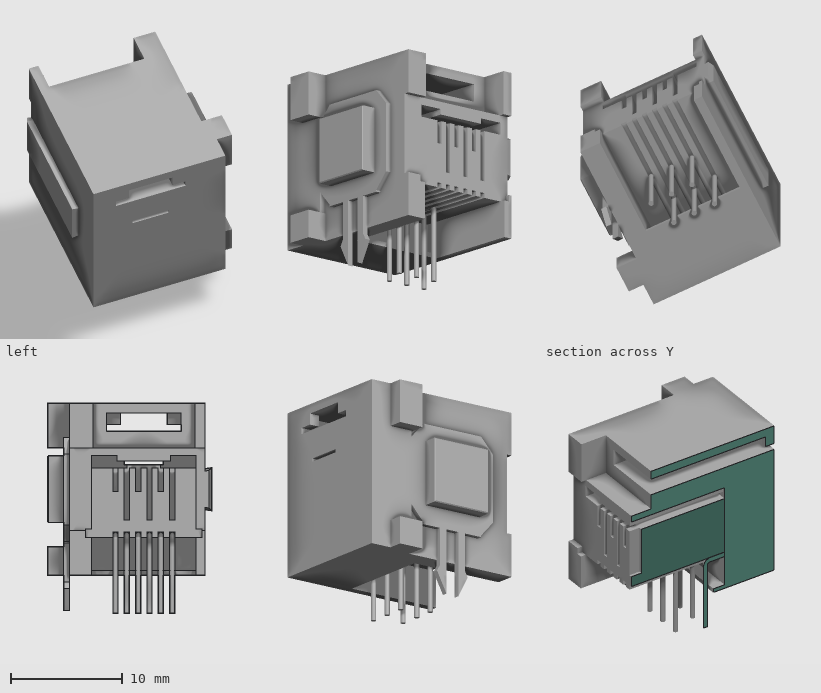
import cadquery as cq


OVERALL_HEIGHT = 18.8
HOUSING_LENGTH = 16.0
HOUSING_HEIGHT = 15.4
HOUSING_WIDTH = 12.13
MID_Y = 5.49
MID_Z = HOUSING_HEIGHT / 2

FACE_RECESS = 0.53
BAND_HEIGHT = 4.0
TOP_RECESS_DEPTH = 2.65
TOP_RECESS_WIDTH = 9.14

WINDOW_WIDTH = 6.67
WINDOW_BOTTOM = 12.9
WINDOW_TOP = 14.51
CORNER_WIDTH = 1.26
CORNER_HEIGHT = 1.03
CORNER_LENGTH = 1.0

POCKET_END = 10.6
POCKET_WIDTH = 9.35
POCKET_TOP = 10.72
LUG_WIDTH = 4.75
LUG_DROP = 0.5
FLOOR_LIP_START = 9.4
FLOOR_LIP_HEIGHT = 0.43
THROUGH_SLOT_WIDTH = 3.45

CARRIER_BOTTOM = 3.4
CARRIER_TOP = 9.6
WING_WIDTH = 10.4
WING_TOP = 4.14
RIDGE_WIDTH = 2.99
RIDGE_HEIGHT = 0.3
SLOT_DEPTH = 1.07
SHORT_SLOT_BOTTOM = 7.5
LONG_SLOT_BOTTOM = 4.95

PIN_COUNT = 6
PIN_PITCH = 1.02
PIN_DIAMETER = 0.47
PIN_TOP = 3.85
PIN_TIP = HOUSING_HEIGHT - OVERALL_HEIGHT
NEAR_ROW_X = 6.03
ROW_SPACING = 2.54
PIN_BEND_RADIUS = 0.41

PLATE_X = 7.01
PLATE_THICKNESS = 0.53
PLATE_WIDTH = 9.08
PLATE_TOP = 12.31
PLATE_CORNER_BOTTOM = 3.03
PLATE_BOTTOM = 2.88
PLATE_BEVEL_X = 1.33
PLATE_BEVEL_Z = 1.47
LEG_INNER = 0.65
LEG_OUTER = 1.4
BARB_OUTER = 1.71
BARB_START = -0.62
BARB_TIP = -1.18
LEG_TIP = -3.15

BOSS_REACH = 14.1
BOSS_SIZE = 6.0
BOSS_CHAMFER = 0.1
POST_START = 11.41
POST_LENGTH = 2.5
LOWER_POST_HEIGHT = 2.55

RAIL_TAPER_END = 1.1
RAIL_END = 12.3
RAIL_HEIGHT = 0.6
RAIL_BASE_WIDTH = 3.68
RAIL_OUTER_WIDTH = 3.87
RAIL_TIP_HEIGHT = 0.35
RAIL_TIP_BASE_WIDTH = 3.23
RAIL_TIP_OUTER_WIDTH = 3.42

PLATE_OUTER_Y = HOUSING_WIDTH + PLATE_THICKNESS
PLATE_END = PLATE_X + PLATE_WIDTH / 2
RIDGE_TOP = CARRIER_TOP + RIDGE_HEIGHT
LUG_BOTTOM = POCKET_TOP - LUG_DROP
UPPER_BAND_BOTTOM = HOUSING_HEIGHT - BAND_HEIGHT


def block(x_range, y_range, z_range):
    """Box between two limits on each axis."""
    sizes = [high - low for low, high in (x_range, y_range, z_range)]
    corner = (x_range[0], y_range[0], z_range[0])
    return cq.Workplane("XY").box(*sizes, centered=False).translate(corner)


def centred_block(x_range, width, z_range):
    """Box centred on the common middle of the pocket and pins."""
    return block(x_range, (MID_Y - width / 2, MID_Y + width / 2), z_range)


def pin_y(index):
    """Y of a pin, counted from the plain side wall."""
    return MID_Y + (index - (PIN_COUNT - 1) / 2) * PIN_PITCH


def in_far_row(index):
    """Even-numbered pins stand in the row farther from the entry face."""
    return index % 2 == 0


def boss_block():
    """Square boss that carries the plate, running inward to the plate seat."""
    half = BOSS_SIZE / 2
    boss = block(
        (PLATE_X - half, PLATE_X + half),
        (HOUSING_WIDTH, BOSS_REACH),
        (MID_Z - half, MID_Z + half),
    )
    return boss.faces(">Y").chamfer(BOSS_CHAMFER)


def rail_section(x, base_width, outer_width, height):
    """Dovetail cross-section of the rail at a given X."""
    points = [
        (x, 0, MID_Z - base_width / 2),
        (x, -height, MID_Z - outer_width / 2),
        (x, -height, MID_Z + outer_width / 2),
        (x, 0, MID_Z + base_width / 2),
    ]
    return cq.Wire.makePolygon([cq.Vector(*point) for point in points], close=True)


def dovetail_rail():
    """Rail that flares outward and tapers down at the entry end."""
    tip = rail_section(FACE_RECESS, RAIL_TIP_BASE_WIDTH, RAIL_TIP_OUTER_WIDTH, RAIL_TIP_HEIGHT)
    full = rail_section(RAIL_TAPER_END, RAIL_BASE_WIDTH, RAIL_OUTER_WIDTH, RAIL_HEIGHT)
    end = rail_section(RAIL_END, RAIL_BASE_WIDTH, RAIL_OUTER_WIDTH, RAIL_HEIGHT)
    taper = cq.Solid.makeLoft([tip, full], True)
    straight = cq.Solid.makeLoft([full, end], True)
    return cq.Workplane(taper).union(cq.Workplane(straight))


def window_opening():
    """Window through the full length, with its upper corners filled at the far end."""
    opening = centred_block((0, HOUSING_LENGTH), WINDOW_WIDTH, (WINDOW_BOTTOM, WINDOW_TOP))
    block_start = HOUSING_LENGTH - CORNER_LENGTH
    corners = centred_block(
        (block_start, HOUSING_LENGTH), WINDOW_WIDTH, (WINDOW_TOP - CORNER_HEIGHT, WINDOW_TOP)
    )
    gap = centred_block(
        (block_start, HOUSING_LENGTH),
        WINDOW_WIDTH - 2 * CORNER_WIDTH,
        (WINDOW_TOP - CORNER_HEIGHT, WINDOW_TOP),
    )
    return opening.cut(corners.cut(gap))


def carrier_pocket():
    """Pocket for the carrier, open to the entry face and to the underside."""
    pocket = centred_block((0, POCKET_END), POCKET_WIDTH, (0, POCKET_TOP))
    lug = centred_block((0, POCKET_END), LUG_WIDTH, (LUG_BOTTOM, POCKET_TOP))
    lip = centred_block((FLOOR_LIP_START, POCKET_END), POCKET_WIDTH, (0, FLOOR_LIP_HEIGHT))
    wings = centred_block((0, POCKET_END), WING_WIDTH, (CARRIER_BOTTOM, WING_TOP))
    through = centred_block((0, HOUSING_LENGTH), THROUGH_SLOT_WIDTH, (RIDGE_TOP, LUG_BOTTOM))
    return pocket.cut(lug).cut(lip).union(wings).union(through)


def make_housing():
    full_height = (0, HOUSING_HEIGHT)
    body = block((0, HOUSING_LENGTH), (0, HOUSING_WIDTH), full_height)
    step = block((PLATE_END, HOUSING_LENGTH), (HOUSING_WIDTH, PLATE_OUTER_Y), full_height)
    body = body.union(step).union(boss_block())
    for z_range in ((0, LOWER_POST_HEIGHT), (UPPER_BAND_BOTTOM, HOUSING_HEIGHT)):
        post = block((POST_START, POST_START + POST_LENGTH), (HOUSING_WIDTH, BOSS_REACH), z_range)
        body = body.union(post)

    face_recess = block((0, FACE_RECESS), (0, HOUSING_WIDTH), (BAND_HEIGHT, UPPER_BAND_BOTTOM))
    top_recess = centred_block(
        (0, TOP_RECESS_DEPTH), TOP_RECESS_WIDTH, (UPPER_BAND_BOTTOM, HOUSING_HEIGHT)
    )
    body = body.cut(face_recess).cut(top_recess).cut(window_opening()).cut(carrier_pocket())
    return body.union(dovetail_rail())


def make_carrier():
    """Block with side wings, a top ridge, front contact slots and pin grooves below."""
    x_range = (FACE_RECESS, POCKET_END)
    slot_end = FACE_RECESS + SLOT_DEPTH
    carrier = centred_block(x_range, POCKET_WIDTH, (CARRIER_BOTTOM, CARRIER_TOP))
    wings = centred_block(x_range, WING_WIDTH, (CARRIER_BOTTOM, WING_TOP))
    ridge = centred_block((slot_end, POCKET_END), RIDGE_WIDTH, (CARRIER_TOP, RIDGE_TOP))
    carrier = carrier.union(wings).union(ridge)
    for index in range(PIN_COUNT):
        y_range = (pin_y(index) - PIN_DIAMETER / 2, pin_y(index) + PIN_DIAMETER / 2)
        slot_bottom = LONG_SLOT_BOTTOM if in_far_row(index) else SHORT_SLOT_BOTTOM
        carrier = carrier.cut(block((FACE_RECESS, slot_end), y_range, (slot_bottom, CARRIER_TOP)))
        carrier = carrier.cut(block(x_range, y_range, (CARRIER_BOTTOM, PIN_TOP)))
    return carrier


def make_plate():
    """Bevelled plate with a square boss hole and two mirrored barbed legs."""
    half = PLATE_WIDTH / 2
    bevel_half = half - PLATE_BEVEL_X
    right_side = [
        (bevel_half, PLATE_TOP),
        (half, PLATE_TOP - PLATE_BEVEL_Z),
        (half, PLATE_CORNER_BOTTOM + PLATE_BEVEL_Z),
        (bevel_half, PLATE_CORNER_BOTTOM),
        (bevel_half, PLATE_BOTTOM),
        (LEG_OUTER, PLATE_BOTTOM),
        (LEG_OUTER, BARB_START),
        (BARB_OUTER, BARB_TIP),
        (LEG_INNER, LEG_TIP),
        (LEG_INNER, PLATE_BOTTOM),
    ]
    left_side = [(-x, z) for x, z in reversed(right_side)]
    plate = (
        cq.Workplane("XZ", origin=(PLATE_X, HOUSING_WIDTH, 0))
        .polyline(right_side + left_side)
        .close()
        .extrude(-PLATE_THICKNESS)
    )
    hole = (
        cq.Workplane("XZ", origin=(PLATE_X, HOUSING_WIDTH, MID_Z))
        .rect(BOSS_SIZE, BOSS_SIZE)
        .extrude(-PLATE_THICKNESS)
    )
    return plate.cut(hole)


def make_pin(index):
    """Round pin: upright leg, then a bend into a level leg in the carrier groove."""
    x = NEAR_ROW_X
    if in_far_row(index):
        x += ROW_SPACING
    axis_z = PIN_TOP - PIN_DIAMETER / 2
    bend_end = (x + PIN_BEND_RADIUS, axis_z)
    path = (
        cq.Workplane("XZ", origin=(0, pin_y(index), 0))
        .moveTo(x, PIN_TIP)
        .lineTo(x, axis_z - PIN_BEND_RADIUS)
        .tangentArcPoint(bend_end, relative=False)
        .lineTo(POCKET_END, axis_z)
    )
    start = cq.Workplane("XY", origin=(x, pin_y(index), PIN_TIP))
    return start.circle(PIN_DIAMETER / 2).sweep(path)


housing = make_housing()
carrier = make_carrier()
plate = make_plate()
pins = [make_pin(index) for index in range(PIN_COUNT)]

result = cq.Compound.makeCompound(
    [housing.val(), carrier.val(), plate.val(), *[pin.val() for pin in pins]]
)